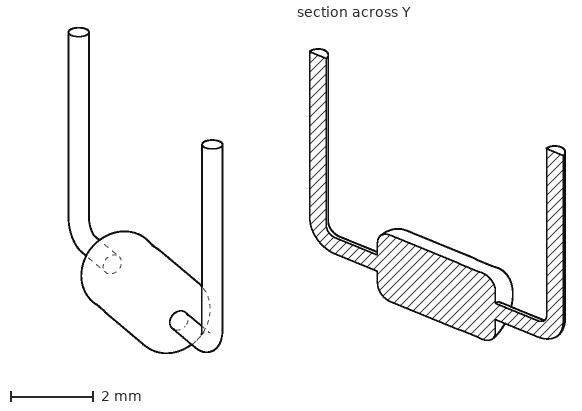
import cadquery as cq

overall_width = 7.5
body_diameter = 2.0
lead_diameter = body_diameter / 4
body_length = 3.5
body_edge_radius = 0.4
lead_top = 5.5
bend_radius = 0.5

band_centre_x = -0.99
band_width = 0.68
band_floor_width = 0.5
band_depth = 0.011

lead_x = (overall_width - lead_diameter) / 2


def make_body():
    """Round body along X with rounded end rims."""
    return (
        cq.Workplane("XZ")
        .moveTo(-body_length / 2, 0)
        .lineTo(-body_length / 2, body_diameter / 2)
        .lineTo(body_length / 2, body_diameter / 2)
        .lineTo(body_length / 2, 0)
        .close()
        .revolve(360, (0, 0, 0), (1, 0, 0))
        .edges("%CIRCLE")
        .fillet(body_edge_radius)
    )


def make_band_cutter():
    """Ring that cuts the band: a flat floor with sloping sides, open at the body surface."""
    surface_radius = body_diameter / 2
    floor_radius = surface_radius - band_depth
    outer_radius = surface_radius + band_depth
    return (
        cq.Workplane("XZ")
        .moveTo(band_centre_x - band_width / 2, outer_radius)
        .lineTo(band_centre_x - band_width / 2, surface_radius)
        .lineTo(band_centre_x - band_floor_width / 2, floor_radius)
        .lineTo(band_centre_x + band_floor_width / 2, floor_radius)
        .lineTo(band_centre_x + band_width / 2, surface_radius)
        .lineTo(band_centre_x + band_width / 2, outer_radius)
        .close()
        .revolve(360, (0, 0, 0), (1, 0, 0))
    )


def make_leads():
    """One continuous wire along the body axis, bent upward at both ends."""
    path = (
        cq.Workplane("XZ")
        .moveTo(-lead_x, lead_top)
        .lineTo(-lead_x, bend_radius)
        .tangentArcPoint((-lead_x + bend_radius, 0), relative=False)
        .lineTo(lead_x - bend_radius, 0)
        .tangentArcPoint((lead_x, bend_radius), relative=False)
        .lineTo(lead_x, lead_top)
    )
    return (
        cq.Workplane("XY", origin=(-lead_x, 0, lead_top))
        .circle(lead_diameter / 2)
        .sweep(path)
    )


result = make_body().cut(make_band_cutter()).union(make_leads())